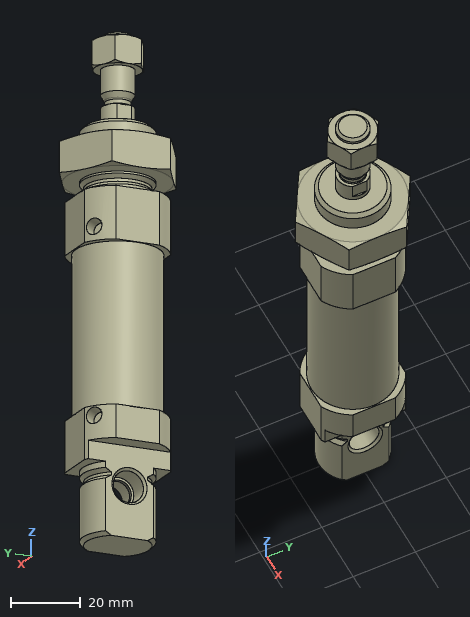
import cadquery as cq
import math

total_height = 154.2

thread_diameter = 22.0
thread_end_diameter = 19.7
thread_chamfer = (thread_diameter - thread_end_diameter) / 2
relief_width = 3.2
eye_width = 16.0
eye_relief_z = 17.1
pin_hole_diameter = 8.0
pin_web_thickness = 1.2
pin_bore_diameter = 9.5
pin_bore_chamfer = 0.8
pin_hole_z = 15.7

cap_width = 27.3
cap_corner_diameter = 30.5
tube_diameter = 26.5
rear_cap_bottom_z = 22.2
rear_cap_step_z = 27.8
rear_cap_top_z = 38.0
front_cap_bottom_z = 87.9
front_cap_top_z = 104.1

collar_top_z = 126.1
collar_relief_z = 106.0

port_diameter = 5.0
port_depth = 5.0
port_angle = 128.5
port_heights = (35.0, 92.2)

mounting_nut_width = 32.0
mounting_nut_bottom_z = 109.8
mounting_nut_height = 10.8
mounting_nut_chamfer_angle = 15.0

rod_diameter = 10.0
rod_bottom_z = front_cap_bottom_z
rod_tip_diameter = 8.3
rod_tip_chamfer = (rod_diameter - rod_tip_diameter) / 2
rod_neck_diameter = 7.7
rod_neck_end_diameter = 8.0
rod_neck_flare = 0.5
rod_neck_bottom_z = 132.3
rod_neck_top_z = 134.5
rod_thread_start_z = 136.2
rod_flats_width = 9.0
rod_flats_bottom_z = 127.7

rod_nut_width = 14.3
rod_nut_bottom_z = 143.9
rod_nut_height = 8.6
rod_nut_chamfer_angle = 30.0


def cylinder(diameter, bottom_z, top_z):
    """Upright cylinder on the Z axis."""
    return cq.Workplane("XY").workplane(offset=bottom_z).circle(diameter / 2).extrude(top_z - bottom_z)


def block(width_x, width_y, bottom_z, top_z):
    """Upright rectangular block centred on the Z axis."""
    return cq.Workplane("XY").workplane(offset=bottom_z).rect(width_x, width_y).extrude(top_z - bottom_z)


def revolved(profile):
    """Solid of revolution about Z from (radius, z) points."""
    return cq.Workplane("XZ").polyline(profile).close().revolve(360, (0, 0, 0), (0, 1, 0))


def relief_groove(bottom_z):
    """Ring that cuts a groove with 45 degree flanks into a thread."""
    outer = thread_diameter / 2
    inner = outer - thread_chamfer
    return revolved([
        (outer, bottom_z),
        (inner, bottom_z + thread_chamfer),
        (inner, bottom_z + relief_width - thread_chamfer),
        (outer, bottom_z + relief_width),
    ])


def cap(bottom_z, top_z):
    """Square cap with rounded corners."""
    return block(cap_width, cap_width, bottom_z, top_z).intersect(cylinder(cap_corner_diameter, bottom_z, top_z))


def pin_hole():
    """Cross hole along X, with a chamfered bore from each flat to a thin web."""
    flat_x = eye_width / 2
    web_x = pin_web_thickness / 2
    hole_radius = pin_hole_diameter / 2
    bore_radius = pin_bore_diameter / 2
    half_profile = [
        (0, 0),
        (0, hole_radius),
        (web_x, hole_radius),
        (web_x, bore_radius),
        (flat_x - pin_bore_chamfer, bore_radius),
        (flat_x, bore_radius + pin_bore_chamfer),
        (flat_x, 0),
    ]
    half_hole = cq.Workplane("XZ").polyline(half_profile).close().revolve(360, (0, 0, 0), (1, 0, 0))
    return half_hole.union(half_hole.mirror("YZ")).translate((0, 0, pin_hole_z))


def rear_end():
    """Rear cap and eye, with flats on both X sides and a cross hole for the pin."""
    eye = cylinder(thread_diameter, 0, rear_cap_bottom_z).faces("<Z").chamfer(thread_chamfer)
    eye = eye.cut(relief_groove(eye_relief_z))
    lower_part = eye.union(cap(rear_cap_bottom_z, rear_cap_step_z))
    lower_part = lower_part.intersect(block(eye_width, cap_width, 0, rear_cap_step_z))
    body = lower_part.union(cap(rear_cap_step_z, rear_cap_top_z))
    return body.cut(pin_hole())


def front_end():
    """Front cap and the threaded collar above it."""
    collar = cylinder(thread_diameter, front_cap_top_z, collar_top_z).faces(">Z").chamfer(thread_chamfer)
    collar = collar.cut(relief_groove(collar_relief_z))
    return cap(front_cap_bottom_z, front_cap_top_z).union(collar)


def air_port(height):
    """Blind radial hole in a rounded corner of a cap."""
    angle = math.radians(port_angle)
    outward = cq.Vector(math.cos(angle), math.sin(angle), 0)
    start = outward * (cap_corner_diameter / 2) + cq.Vector(0, 0, height)
    return cq.Workplane(cq.Solid.makeCylinder(port_diameter / 2, port_depth, start, outward * -1))


def make_housing():
    """Rear end, tube and front end in one body, bored for the rod."""
    body = rear_end().union(cylinder(tube_diameter, rear_cap_top_z, front_cap_bottom_z)).union(front_end())
    for height in port_heights:
        body = body.cut(air_port(height))
    return body.cut(cylinder(rod_diameter, rod_bottom_z, collar_top_z))


def make_rod():
    """Piston rod with wrench flats, a neck and a threaded end."""
    radius = rod_diameter / 2
    neck_radius = rod_neck_diameter / 2
    neck_end_radius = rod_neck_end_diameter / 2
    rod = revolved([
        (0, rod_bottom_z),
        (radius, rod_bottom_z),
        (radius, rod_neck_bottom_z),
        (neck_end_radius, rod_neck_bottom_z),
        (neck_radius, rod_neck_bottom_z + rod_neck_flare),
        (neck_radius, rod_neck_top_z - rod_neck_flare),
        (neck_end_radius, rod_neck_top_z),
        (radius, rod_thread_start_z),
        (radius, total_height - rod_tip_chamfer),
        (rod_tip_diameter / 2, total_height),
        (0, total_height),
    ])
    around_flats = cylinder(rod_diameter, rod_flats_bottom_z, rod_neck_bottom_z)
    kept = block(rod_flats_width, rod_diameter, rod_flats_bottom_z, rod_neck_bottom_z)
    return rod.cut(around_flats.cut(kept))


def make_hex_nut(width, height, bottom_z, bore_diameter, chamfer_angle):
    """Hexagon nut with corners on the Y axis, cone-chamfered on both ends."""
    corner_radius = width / math.sqrt(3)
    flat_radius = width / 2
    drop = (corner_radius - flat_radius) * math.tan(math.radians(chamfer_angle))
    top_z = bottom_z + height
    hexagon = (
        cq.Workplane("XY")
        .workplane(offset=bottom_z)
        .transformed(rotate=(0, 0, 90))
        .polygon(6, 2 * corner_radius)
        .extrude(height)
    )
    envelope = revolved([
        (0, bottom_z),
        (flat_radius, bottom_z),
        (corner_radius, bottom_z + drop),
        (corner_radius, top_z - drop),
        (flat_radius, top_z),
        (0, top_z),
    ])
    return hexagon.intersect(envelope).cut(cylinder(bore_diameter, bottom_z, top_z))


housing = make_housing()
rod = make_rod()
mounting_nut = make_hex_nut(
    mounting_nut_width, mounting_nut_height, mounting_nut_bottom_z, thread_diameter, mounting_nut_chamfer_angle
)
rod_nut = make_hex_nut(rod_nut_width, rod_nut_height, rod_nut_bottom_z, rod_diameter, rod_nut_chamfer_angle)

result = cq.Compound.makeCompound([housing.val(), rod.val(), mounting_nut.val(), rod_nut.val()])